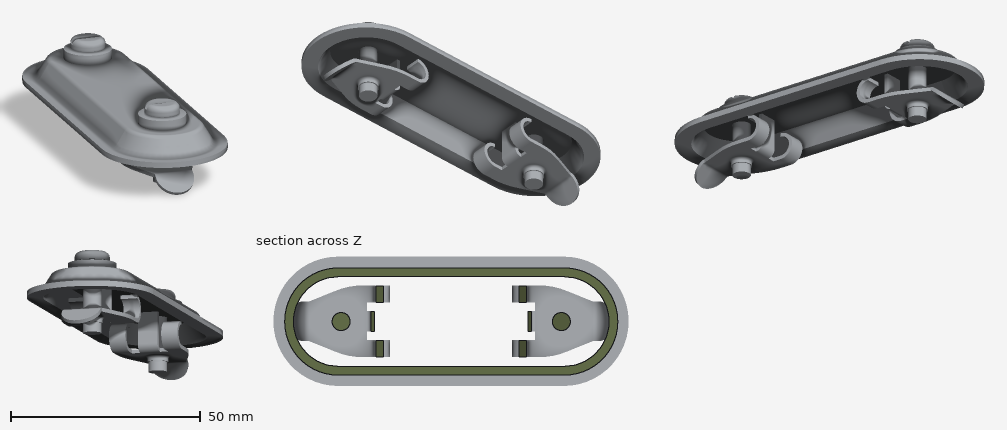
import cadquery as cq
import math

COVER_LENGTH = 93.7
COVER_WIDTH = 34.1
SHEET = 1.5
COVER_HEIGHT = 6.65
DOME_WIDTH = 27.1
WALL_LEAN = 32.0

FASTENER_X = 29.0
SHANK_DIAMETER = 4.9
CLEARANCE_DIAMETER = 5.1

WASHER_DIAMETER = 12.7
GASKET_THICKNESS = 1.5
WASHER_RIM_THICKNESS = 1.1
WASHER_CONE_RISE = 0.5
SEAT_DIAMETER = 5.6

HEAD_DIAMETER = 9.3
HEAD_TOP = 12.4
HEAD_TOP_RADIUS = 1.5
SLOT_WIDTH = 1.4
SLOT_DEPTH = 1.4
SCREW_BOTTOM = -9.4

CLIP_SHEET = 1.0
CLIP_TOP = -4.3
CLIP_HALF_WIDTH = 9.5
TONGUE_HALF_WIDTH = 5.2
TONGUE_BEND_X = -8.3
TONGUE_ANGLE = 40.0
TONGUE_BEND_RADIUS = 0.9
TONGUE_STRAIGHT = 0.4
FLANK_END_X = -1.6
FLANK_END_HALF_WIDTH = 8.0
SHOULDER_END_X = 5.8
CURL_START_X = 9.2
CURL_RADIUS = 3.7
FORK_HALF_GAP = 5.0
TAB_WIDTH = 5.4
TAB_FACE_X = 7.8
TAB_BEND_RADIUS = 0.9
COLLAR_DIAMETER = 5.5
COLLAR_BOTTOM = -6.7
COLLAR_ROOT_RADIUS = 0.6

CEILING = COVER_HEIGHT - SHEET
GASKET_TOP = COVER_HEIGHT + GASKET_THICKNESS
WASHER_RIM_TOP = GASKET_TOP + WASHER_RIM_THICKNESS
WASHER_TOP = WASHER_RIM_TOP + WASHER_CONE_RISE
CLIP_BOTTOM = CLIP_TOP - CLIP_SHEET
SHANK_RADIUS = SHANK_DIAMETER / 2
HEAD_RADIUS = HEAD_DIAMETER / 2


def stadium(width, bottom, height, lean=0):
    """Stadium prism on the cover's two end centres, narrowing upwards by `lean` degrees."""
    length = COVER_LENGTH - COVER_WIDTH + width
    return cq.Workplane("XY", origin=(0, 0, bottom)).slot2D(length, width).extrude(height, taper=lean)


def ring(outer_diameter, inner_diameter, bottom, top):
    """Flat ring on the Z axis."""
    plane = cq.Workplane("XY", origin=(0, 0, bottom))
    return plane.circle(outer_diameter / 2).circle(inner_diameter / 2).extrude(top - bottom)


def make_cover():
    dome = stadium(DOME_WIDTH, SHEET, COVER_HEIGHT - SHEET, WALL_LEAN)
    shell = stadium(COVER_WIDTH, 0, SHEET).union(dome)
    shell = shell.faces(">Z").edges().fillet(SHEET)
    flange_top = shell.faces("+Z").faces("<Z").val()
    dome_foot = flange_top.innerWires()[0].Edges()
    shell = shell.newObject(dome_foot).fillet(SHEET)
    wall_offset = SHEET / math.cos(math.radians(WALL_LEAN))
    mouth_half_width = DOME_WIDTH / 2 + SHEET * math.tan(math.radians(WALL_LEAN)) - wall_offset
    shell = shell.cut(stadium(2 * mouth_half_width, 0, CEILING, WALL_LEAN))
    holes = cq.Workplane("XY").pushPoints([(-FASTENER_X, 0), (FASTENER_X, 0)])
    return shell.cut(holes.circle(CLEARANCE_DIAMETER / 2).extrude(COVER_HEIGHT))


def make_gasket():
    return ring(WASHER_DIAMETER, CLEARANCE_DIAMETER, COVER_HEIGHT, GASKET_TOP)


def make_washer():
    """Washer whose top rises as a shallow cone to a narrow flat seat under the screw head."""
    section = [
        (CLEARANCE_DIAMETER / 2, GASKET_TOP),
        (WASHER_DIAMETER / 2, GASKET_TOP),
        (WASHER_DIAMETER / 2, WASHER_RIM_TOP),
        (SEAT_DIAMETER / 2, WASHER_TOP),
        (CLEARANCE_DIAMETER / 2, WASHER_TOP),
    ]
    return cq.Workplane("XZ").polyline(section).close().revolve(360, (0, 0), (0, 1))


def make_screw():
    head = cq.Workplane("XY", origin=(0, 0, WASHER_TOP)).circle(HEAD_RADIUS).extrude(HEAD_TOP - WASHER_TOP)
    head = head.faces(">Z").edges().fillet(HEAD_TOP_RADIUS)
    slot_floor = HEAD_TOP - SLOT_DEPTH
    slot = cq.Workplane("XY", origin=(0, 0, slot_floor)).rect(SLOT_WIDTH, HEAD_DIAMETER + 0.9).extrude(HEAD_TOP)
    shank = cq.Workplane("XY", origin=(0, 0, SCREW_BOTTOM)).circle(SHANK_RADIUS).extrude(WASHER_TOP - SCREW_BOTTOM)
    return head.cut(slot).union(shank)


def make_clip_plate():
    """Flat part of the clip, widening from the tongue to the two legs."""
    shoulder_dx = SHOULDER_END_X - FLANK_END_X
    shoulder_dy = CLIP_HALF_WIDTH - FLANK_END_HALF_WIDTH
    half_turn = math.atan2(shoulder_dy, shoulder_dx)
    shoulder_radius = shoulder_dx / math.sin(2 * half_turn)
    shoulder_middle = (
        SHOULDER_END_X - shoulder_radius * math.sin(half_turn),
        CLIP_HALF_WIDTH - shoulder_radius * (1 - math.cos(half_turn)),
    )
    tab_bend_x = TAB_FACE_X - TAB_BEND_RADIUS
    half = (
        cq.Workplane("XY", origin=(0, 0, CLIP_BOTTOM))
        .moveTo(TONGUE_BEND_X, 0)
        .lineTo(TONGUE_BEND_X, TONGUE_HALF_WIDTH)
        .lineTo(FLANK_END_X, FLANK_END_HALF_WIDTH)
        .threePointArc(shoulder_middle, (SHOULDER_END_X, CLIP_HALF_WIDTH))
        .lineTo(CURL_START_X, CLIP_HALF_WIDTH)
        .lineTo(CURL_START_X, FORK_HALF_GAP)
        .lineTo(tab_bend_x, FORK_HALF_GAP)
        .lineTo(tab_bend_x, 0)
        .close()
        .extrude(CLIP_SHEET)
    )
    return half.union(half.mirror("XZ"))


def bend(center_x, center_z, inner_radius, start, end, width, center_y=0):
    """Sheet bent about an axis along Y; angles in degrees from +X towards +Z."""
    outer_radius = inner_radius + CLIP_SHEET

    def at(radius, angle):
        turn = math.radians(angle)
        return center_x + radius * math.cos(turn), center_z + radius * math.sin(turn)

    middle = (start + end) / 2
    return (
        cq.Workplane("XZ", origin=(0, center_y + width / 2, 0))
        .moveTo(*at(inner_radius, start))
        .lineTo(*at(outer_radius, start))
        .threePointArc(at(outer_radius, middle), at(outer_radius, end))
        .lineTo(*at(inner_radius, end))
        .threePointArc(at(inner_radius, middle), at(inner_radius, start))
        .close()
        .extrude(width)
    )


def make_tongue():
    """Tongue bent down from the plate, with a full round tip."""
    width = 2 * TONGUE_HALF_WIDTH
    bend_z = CLIP_BOTTOM - TONGUE_BEND_RADIUS
    curve = bend(TONGUE_BEND_X, bend_z, TONGUE_BEND_RADIUS, 90, 90 + TONGUE_ANGLE, width)
    blade = (
        cq.Workplane("XY", origin=(TONGUE_BEND_X, 0, CLIP_BOTTOM))
        .moveTo(0, -TONGUE_HALF_WIDTH)
        .lineTo(-TONGUE_STRAIGHT, -TONGUE_HALF_WIDTH)
        .threePointArc((-TONGUE_STRAIGHT - TONGUE_HALF_WIDTH, 0), (-TONGUE_STRAIGHT, TONGUE_HALF_WIDTH))
        .lineTo(0, TONGUE_HALF_WIDTH)
        .close()
        .extrude(CLIP_SHEET)
        .rotate((TONGUE_BEND_X, 0, bend_z), (TONGUE_BEND_X, 1, bend_z), -TONGUE_ANGLE)
    )
    return curve.union(blade)


def make_leg(side):
    """Leg curled up and back through half a turn, on the given side (+1 or -1) of the X axis."""
    width = CLIP_HALF_WIDTH - FORK_HALF_GAP
    center_y = side * (CLIP_HALF_WIDTH + FORK_HALF_GAP) / 2
    inner_radius = CURL_RADIUS - CLIP_SHEET
    return bend(CURL_START_X, CLIP_BOTTOM + CURL_RADIUS, inner_radius, -90, 90, width, center_y)


def make_tab():
    """Tab between the legs, bent upright from the plate to the cover's ceiling."""
    bend_z = CLIP_TOP + TAB_BEND_RADIUS
    curve = bend(TAB_FACE_X - TAB_BEND_RADIUS, bend_z, TAB_BEND_RADIUS, -90, 0, TAB_WIDTH)
    upright = (
        cq.Workplane("XY", origin=(TAB_FACE_X + CLIP_SHEET / 2, 0, bend_z))
        .rect(CLIP_SHEET, TAB_WIDTH)
        .extrude(CEILING - bend_z)
    )
    return curve.union(upright)


def make_collar():
    """Drawn collar under the plate around the screw, with a rounded root."""
    radius = COLLAR_DIAMETER / 2
    root_bottom = CLIP_BOTTOM - COLLAR_ROOT_RADIUS
    root_offset = COLLAR_ROOT_RADIUS * (1 - math.sqrt(0.5))
    return (
        cq.Workplane("XZ")
        .moveTo(SHANK_RADIUS, COLLAR_BOTTOM)
        .lineTo(radius, COLLAR_BOTTOM)
        .lineTo(radius, root_bottom)
        .threePointArc(
            (radius + root_offset, CLIP_BOTTOM - root_offset),
            (radius + COLLAR_ROOT_RADIUS, CLIP_BOTTOM),
        )
        .lineTo(SHANK_RADIUS, CLIP_BOTTOM)
        .close()
        .revolve(360, (0, 0), (0, 1))
    )


def make_clip():
    clip = make_clip_plate().union(make_tongue()).union(make_tab()).union(make_collar())
    for side in (-1, 1):
        clip = clip.union(make_leg(side))
    bore = cq.Workplane("XY", origin=(0, 0, CLIP_BOTTOM)).circle(SHANK_RADIUS).extrude(CLIP_SHEET)
    return clip.cut(bore)


def place(body, turn):
    """Put a body at the left-hand fastener, then turn it about the Z axis."""
    return body.translate((-FASTENER_X, 0, 0)).rotate((0, 0, 0), (0, 0, 1), turn)


cover = make_cover()
bodies = [cover.val()]
for turn in (0, 180):
    for body in (make_gasket(), make_washer(), make_screw(), make_clip()):
        bodies.append(place(body, turn).val())

result = cq.Compound.makeCompound(bodies)